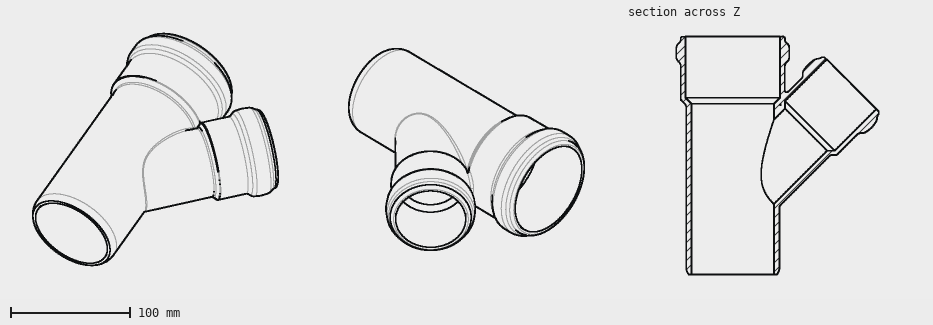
import cadquery as cq
import math

main_length = 198.6
main_bore_d = 68.6
main_pipe_d = 78.4
spigot_round_length = 6.6
spigot_tip_d = 73.8

branch_angle = 45.0
branch_origin_y = 59.6
branch_length = 140.2
branch_pipe_d = 58.8
branch_bore_d = 49.6

joint_fillet = 1.5
joint_branch_length = 115.0

MAIN_SOCKET = dict(
    body_d=87.0, bore_d=78.7, lip_d=87.6, lip_round=2.4,
    bead_d=94.75, bead_edge_d=94.3,
    front_flank_at=5.7, front_flank_d=90.2, bead_start_at=9.0,
    bead_end_at=18.5, back_flank_at=21.5, back_flank_d=90.4, body_at=25.1,
    shoulder_at=52.9, root_blend=1.8, shoulder_blend=0.8,
)
BRANCH_SOCKET = dict(
    body_d=66.1, bore_d=58.5, lip_d=67.6, lip_round=2.6,
    bead_d=74.9, bead_edge_d=73.4,
    front_flank_at=5.2, front_flank_d=70.6, bead_start_at=8.0,
    bead_end_at=20.0, back_flank_at=23.2, back_flank_d=69.4, body_at=26.7,
    shoulder_at=50.8, root_blend=1.8, shoulder_blend=0.8,
)


def add_socket_profile(outline, socket, mouth, root_d):
    """Continue a (radius, axial) outline from the pipe wall, over the socket, to the mouth."""
    root_r = root_d / 2
    body_r = socket["body_d"] / 2
    lip_r = socket["lip_d"] / 2
    bead_edge_r = socket["bead_edge_d"] / 2
    shoulder = mouth - socket["shoulder_at"]
    cone_root = shoulder - (body_r - root_r)
    root_reach = socket["root_blend"] / 2
    shoulder_reach = socket["shoulder_blend"] / 2
    slope = math.sqrt(0.5)
    bead_middle = mouth - (socket["bead_start_at"] + socket["bead_end_at"]) / 2
    lip_back = mouth - socket["lip_round"]
    return (
        outline
        .lineTo(root_r, cone_root - root_reach)
        .tangentArcPoint((root_r + root_reach * slope, cone_root + root_reach * slope), relative=False)
        .lineTo(body_r - shoulder_reach * slope, shoulder - shoulder_reach * slope)
        .tangentArcPoint((body_r, shoulder + shoulder_reach), relative=False)
        .lineTo(body_r, mouth - socket["body_at"])
        .tangentArcPoint((socket["back_flank_d"] / 2, mouth - socket["back_flank_at"]), relative=False)
        .tangentArcPoint((bead_edge_r, mouth - socket["bead_end_at"]), relative=False)
        .threePointArc((socket["bead_d"] / 2, bead_middle), (bead_edge_r, mouth - socket["bead_start_at"]))
        .tangentArcPoint((socket["front_flank_d"] / 2, mouth - socket["front_flank_at"]), relative=False)
        .tangentArcPoint((lip_r, lip_back), relative=False)
        .radiusArc((lip_r - socket["lip_round"], mouth), -socket["lip_round"])
        .lineTo(0, mouth)
        .close()
    )


def revolve(outline):
    return outline.revolve(360, (0, 0, 0), (0, 1, 0))


def place_branch(body):
    """Turn a body built along +Y onto the branch axis."""
    return body.rotate((0, 0, 0), (0, 0, 1), -branch_angle).translate((0, branch_origin_y, 0))


def main_outside():
    outline = cq.Workplane("XY").lineTo(spigot_tip_d / 2, 0)
    drop = (main_pipe_d - spigot_tip_d) / 2
    round_r = (spigot_round_length ** 2 + drop ** 2) / (2 * drop)
    outline = outline.radiusArc((main_pipe_d / 2, spigot_round_length), -round_r)
    return revolve(add_socket_profile(outline, MAIN_SOCKET, main_length, main_pipe_d))


def branch_outside():
    outline = cq.Workplane("XY").lineTo(branch_pipe_d / 2, 0)
    return place_branch(revolve(add_socket_profile(outline, BRANCH_SOCKET, branch_length, branch_pipe_d)))


def bore(socket, mouth, pipe_bore_d):
    """Pipe bore opening through a 45 degree seat into the socket bore."""
    pipe_r = pipe_bore_d / 2
    socket_r = socket["bore_d"] / 2
    wall = (socket["body_d"] - socket["bore_d"]) / 2
    seat_top = mouth - socket["shoulder_at"] + wall * math.tan(math.pi / 8)
    seat_bottom = seat_top - (socket_r - pipe_r)
    outline = (
        cq.Workplane("XY")
        .lineTo(pipe_r, 0)
        .lineTo(pipe_r, seat_bottom)
        .lineTo(socket_r, seat_top)
        .lineTo(socket_r, mouth)
        .lineTo(0, mouth)
        .close()
    )
    return revolve(outline)


def plain_rod(diameter, length):
    return cq.Workplane("XZ").circle(diameter / 2).extrude(-length)


def filleted_joint(main_d, branch_d, from_y, to_y):
    """Solid crossing of two cylinders with a filleted joint, kept between two planes across Y."""
    main_rod = plain_rod(main_d, main_length)
    branch_rod = place_branch(plain_rod(branch_d, joint_branch_length))
    crossing = main_rod.union(branch_rod)
    joint_edges = [edge for edge in crossing.edges().vals() if edge.geomType() == "BSPLINE"]
    crossing = crossing.newObject(joint_edges).fillet(joint_fillet)
    keep_size = 2 * main_length
    keep = cq.Workplane("XY").box(keep_size, to_y - from_y, keep_size).translate((0, (from_y + to_y) / 2, 0))
    return crossing.intersect(keep)


def outside_body():
    main_shoulder_y = main_length - MAIN_SOCKET["shoulder_at"]
    main_body_end_y = main_length - MAIN_SOCKET["body_at"]
    shoulder_height = (MAIN_SOCKET["body_d"] - main_pipe_d) / 2
    main_cone_root_y = main_shoulder_y - shoulder_height
    pipe_joint = filleted_joint(main_pipe_d, branch_pipe_d, spigot_round_length, main_cone_root_y)
    main_body_start_y = main_shoulder_y + MAIN_SOCKET["shoulder_blend"] / 2
    socket_joint = filleted_joint(
        MAIN_SOCKET["body_d"], BRANCH_SOCKET["body_d"], main_body_start_y, main_body_end_y)
    return main_outside().union(branch_outside()).union(socket_joint).union(pipe_joint)


main_cavity = bore(MAIN_SOCKET, main_length, main_bore_d)
branch_cavity = place_branch(bore(BRANCH_SOCKET, branch_length, branch_bore_d))
result = outside_body().cut(main_cavity).cut(branch_cavity)